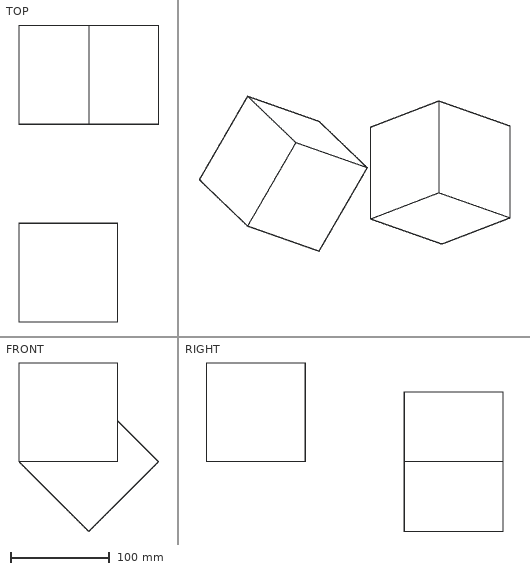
import cadquery as cq

overall_length = 300.0
cube_side = overall_length / 3
tilt_angle = 45.0


def make_cube(y_start):
    """Cube whose lower left edge runs along Y, on the line X = Z = 0."""
    return cq.Workplane("XY").box(cube_side, cube_side, cube_side, centered=False).translate((0, y_start, 0))


upright_cube = make_cube(0)

tilted_cube = make_cube(overall_length - cube_side).rotate((0, 0, 0), (0, 1, 0), tilt_angle)

result = cq.Compound.makeCompound([upright_cube.val(), tilted_cube.val()])